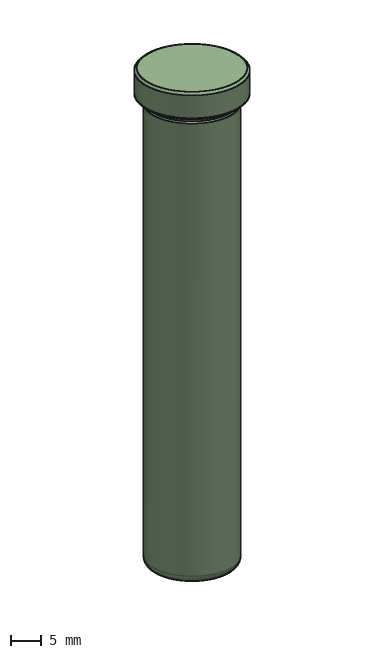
import cadquery as cq

total_length = 90.0
head_diameter = 19.0
head_height = 5.0
head_edge = 0.45
shank_diameter = 16.0
shank_end_fillet = 1.5
neck_length = 1.3
neck_taper = 0.3

head_bottom = total_length - head_height
neck_bottom = head_bottom - neck_length
shank_radius = shank_diameter / 2
neck_radius = shank_radius - neck_taper


def make_shank():
    """Cylindrical pin shank with a rounded free end at Z = 0."""
    shank = cq.Workplane("XY").circle(shank_radius).extrude(head_bottom)
    return shank.faces("<Z").edges().fillet(shank_end_fillet)


def make_head():
    """Round head with both rims chamfered."""
    head = cq.Workplane("XY").workplane(offset=head_bottom).circle(head_diameter / 2).extrude(head_height)
    return head.edges().chamfer(head_edge)


def make_neck_relief():
    """Ring that is cut away directly below the head, tapered at its lower end."""
    profile = (
        cq.Workplane("XZ")
        .moveTo(neck_radius, head_bottom)
        .lineTo(shank_radius, head_bottom)
        .lineTo(shank_radius, neck_bottom)
        .lineTo(neck_radius, neck_bottom + neck_taper)
        .close()
    )
    return profile.revolve(360, (0, 0, 0), (0, 1, 0))


result = make_shank().cut(make_neck_relief()).union(make_head())